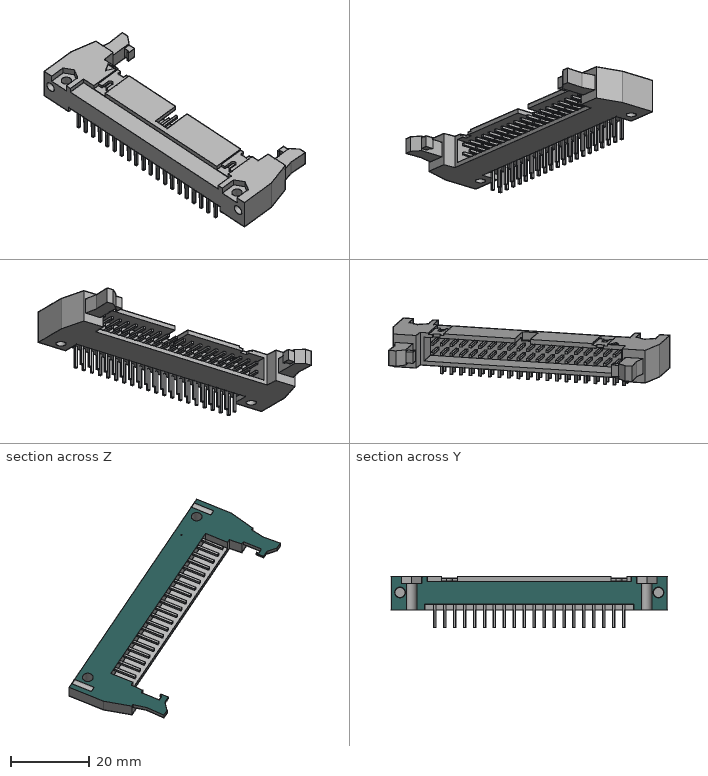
import cadquery as cq


length = 70.4
half_length = length / 2
height = 8.6
mouth_y = 13.7
block_back_y = 17.2
taper_start_y = 10.0
taper_inset = 1.9
block_width_back = 7.95
block_width_mouth = 8.2

cavity_half_width = 26.05
cavity_back_y = 7.4
top_wall = 1.2
bottom_wall = 1.1

ledge_half_width = half_length - 9.2
ledge_depth_y = 4.85
ledge_drop = 1.3
recess_half_width = half_length - 8.6
recess_depth_y = 4.85
recess_height = 1.5

key_width = 4.0
key_back_y = 6.35
key_depth = 2.1

strip_centers = (-20.35, 22.9)
strip_width = 4.0
strip_drop = 0.4
strip_step_y = 6.55
strip_step_drop = 1.1
window_width = 1.5
window_end_y = 9.6
mouth_notch_width = 2.0
mouth_notch_depth_y = 1.05

hole_diameter = 2.6
mount_hole_inset = 5.2
mount_hole_y = 2.75
pocket_width = 5.15
pocket_side_y = 4.2
pocket_peak_y = 5.7
pocket_depth = 1.75
front_hole_inset = 2.25
front_hole_drop = 4.1
front_hole_depth = 5.6

mark_center_x = -24.1
mark_width = 2.5
mark_base_y = 13.3
mark_tip_y = 10.9
mark_depth = 0.35

latch_drop = 2.2
latch_thickness = 4.0
latch_root_y = 14.8
latch_tip_y = 25.8
latch_waist_y = 20.8
hook_drop = 2.7
hook_thickness = 2.95
hook_back_y = 24.0
hook_front_y = 22.25
hook_lip_y = 21.75
latch_root_outer = 2.45
latch_waist_outer = 3.25
latch_tip_outer = 3.0
latch_tip_inner = 4.9
latch_inner = 7.1
hook_tip = 9.0
hook_lip_start = 8.5

pin_columns = 20
pin_rows = 2
pin_pitch = 2.5
pin_size = 0.6
pin_setback = 0.35
pin_tip_y = mouth_y - pin_setback
tail_length = 4.4
tail_front_y = 1.05
upper_pin_z = -2.95
pin_embed = 0.7


def block(x0, x1, y0, y1, z0, z1):
    """Box given by its two corner coordinates on each axis."""
    return cq.Workplane("XY").box(x1 - x0, y1 - y0, z1 - z0, centered=False).translate((x0, y0, z0))


def centered_block(x, width, y0, y1, z0, z1):
    """Box centered on x."""
    return block(x - width / 2, x + width / 2, y0, y1, z0, z1)


def plate(points, z_top, thickness):
    """Flat prism hanging down from z_top."""
    return cq.Workplane("XY").workplane(offset=z_top).polyline(points).close().extrude(-thickness)


def both_ends(solid):
    """The solid together with its mirror image at the other end."""
    return solid.union(solid.mirror("YZ"))


def housing():
    left_edge = [
        (-half_length, 0),
        (-half_length, taper_start_y),
        (-half_length + taper_inset, block_back_y),
        (-half_length + block_width_back, block_back_y),
        (-half_length + block_width_mouth, mouth_y),
    ]
    right_edge = [(-x, y) for x, y in reversed(left_edge)]
    body = plate(left_edge + right_edge, 0, height)
    cavity = block(
        -cavity_half_width, cavity_half_width, cavity_back_y, mouth_y, -height + bottom_wall, -top_wall
    )
    ledge = block(-ledge_half_width, ledge_half_width, 0, ledge_depth_y, -ledge_drop, 0)
    recess = block(
        -recess_half_width, recess_half_width, 0, recess_depth_y, -height, -height + recess_height
    )
    key_slot = centered_block(0, key_width, key_back_y, mouth_y, -key_depth, 0)
    return body.cut(cavity).cut(ledge).cut(recess).cut(key_slot)


def strip_cut(x):
    """Strip recess with its front step, arched window and notch at the mouth."""
    strip = centered_block(x, strip_width, ledge_depth_y, mouth_y, -strip_drop, 0)
    step = centered_block(x, strip_width, ledge_depth_y, strip_step_y, -strip_step_drop, 0)
    arch_center_y = window_end_y - window_width / 2
    window = centered_block(x, window_width, strip_step_y, cavity_back_y, -strip_step_drop, 0)
    opening = centered_block(x, window_width, cavity_back_y, arch_center_y, -top_wall, 0)
    arch = cq.Workplane("XY").center(x, arch_center_y).circle(window_width / 2).extrude(-top_wall)
    notch = centered_block(x, mouth_notch_width, mouth_y - mouth_notch_depth_y, mouth_y, -top_wall, 0)
    return strip.union(step).union(window).union(opening).union(arch).union(notch)


def mounting_cut():
    """Nut pocket, vertical hole and blind front hole at the -X end."""
    x = -half_length + mount_hole_inset
    half = pocket_width / 2
    pocket = plate(
        [(x - half, 0), (x - half, pocket_side_y), (x, pocket_peak_y), (x + half, pocket_side_y), (x + half, 0)],
        0,
        pocket_depth,
    )
    hole = cq.Workplane("XY").center(x, mount_hole_y).circle(hole_diameter / 2).extrude(-height)
    front_hole = (
        cq.Workplane("XZ")
        .center(-half_length + front_hole_inset, -front_hole_drop)
        .circle(hole_diameter / 2)
        .extrude(-front_hole_depth)
    )
    return pocket.union(hole).union(front_hole)


def pin_one_mark():
    half = mark_width / 2
    return plate(
        [
            (mark_center_x - half, mark_base_y),
            (mark_center_x + half, mark_base_y),
            (mark_center_x, mark_tip_y),
        ],
        0,
        mark_depth,
    )


def latch():
    """Latch lever with its hook at the -X end; outlines are measured inwards from the end face."""
    lever = [
        (latch_root_outer, latch_root_y),
        (latch_root_outer, block_back_y),
        (latch_waist_outer, latch_waist_y),
        (latch_tip_outer, latch_tip_y),
        (latch_tip_inner, latch_tip_y),
        (latch_inner, hook_back_y),
        (latch_inner, latch_root_y),
    ]
    hook = [
        (latch_inner, hook_back_y),
        (hook_tip, hook_back_y),
        (hook_tip, hook_lip_y),
        (hook_lip_start, hook_lip_y),
        (hook_lip_start, hook_front_y),
        (latch_inner, hook_front_y),
    ]
    solid = plate(lever, -latch_drop, latch_thickness).union(plate(hook, -hook_drop, hook_thickness))
    return solid.translate((-half_length, 0, 0))


def contacts():
    """Two rows of straight contacts running from the cavity back to near the mouth."""
    return (
        cq.Workplane("XZ", origin=(0, cavity_back_y - pin_embed, upper_pin_z - pin_pitch / 2))
        .rarray(pin_pitch, pin_pitch, pin_columns, pin_rows)
        .rect(pin_size, pin_size)
        .extrude(-(pin_tip_y - cavity_back_y + pin_embed))
    )


def solder_tails():
    """Two rows of solder tails hanging from the standoff recess."""
    return (
        cq.Workplane("XY", origin=(0, tail_front_y + pin_pitch / 2, -height - tail_length))
        .rarray(pin_pitch, pin_pitch, pin_columns, pin_rows)
        .rect(pin_size, pin_size)
        .extrude(tail_length + recess_height + pin_embed)
    )


body = housing()
for strip_x in strip_centers:
    body = body.cut(strip_cut(strip_x))
body = body.cut(both_ends(mounting_cut())).cut(pin_one_mark())
result = body.union(both_ends(latch())).union(contacts()).union(solder_tails())